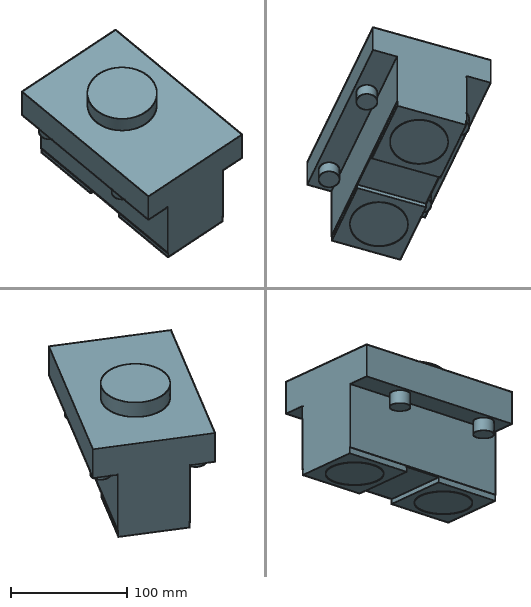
import cadquery as cq

plate_length = 163.5
plate_width = 108.0
plate_height = 30.0

boss_diameter = 59.8
boss_height = 15.0
boss_x = -12.8

pin_diameter = 18.0
pin_height = 12.0
pin_spacing_x = 93.8
pin_spacing_y = 84.2

body_width = 64.0
base_width = 63.0
base_height = 1.0

pad_height = 4.5
pad_gap = 36.0
foot_diameter = 50.0
foot_height = 0.5

total_height = 110.0
plate_top = total_height - boss_height
plate_bottom = plate_top - plate_height
pad_bottom = foot_height
base_bottom = pad_bottom + pad_height
body_bottom = base_bottom + base_height

pad_length = (plate_length - pad_gap) / 2
pad_offset = (pad_gap + pad_length) / 2


def block(length, width, bottom, top, x=0):
    """Rectangular block centred on Y between two heights."""
    return cq.Workplane("XY", origin=(x, 0, bottom)).rect(length, width).extrude(top - bottom)


def cylinder(diameter, bottom, top, x, y=0):
    """Vertical cylinder between two heights."""
    return cq.Workplane("XY", origin=(x, y, bottom)).circle(diameter / 2).extrude(top - bottom)


result = block(plate_length, plate_width, plate_bottom, plate_top)
result = result.union(block(plate_length, body_width, body_bottom, plate_bottom))
result = result.union(block(plate_length, base_width, base_bottom, body_bottom))

result = result.union(cylinder(boss_diameter, plate_top, total_height, boss_x))

for side_x in (-1, 1):
    for side_y in (-1, 1):
        pin_x = boss_x + side_x * pin_spacing_x / 2
        pin_y = side_y * pin_spacing_y / 2
        result = result.union(
            cylinder(pin_diameter, plate_bottom - pin_height, plate_bottom, pin_x, pin_y)
        )

for pad_x in (-pad_offset, pad_offset):
    result = result.union(block(pad_length, base_width, pad_bottom, base_bottom, pad_x))
    result = result.union(cylinder(foot_diameter, 0, pad_bottom, pad_x))